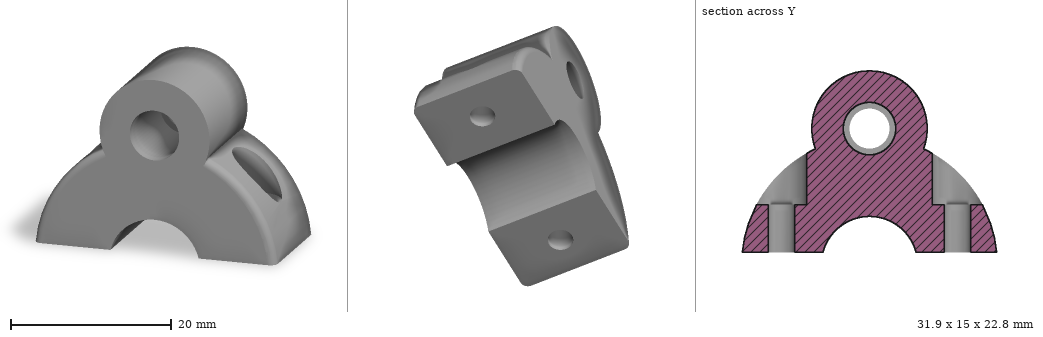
import cadquery as cq

depth = 15.0

saddle_radius = 16.0
saddle_bore_radius = 6.0
saddle_axis_z = -1.5
saddle_edge_fillet = 1.0

barrel_diameter = 14.5
barrel_axis_z = 15.5
barrel_hole_diameter = 5.0
barrel_pocket_diameter = 6.5
barrel_lip_length = 3.0
barrel_pocket_depth = depth - barrel_lip_length

screw_offset_x = 11.0
screw_hole_diameter = 3.2
screw_head_diameter = 6.25
screw_seat_z = 6.0


def cylinder_along_y(diameter, axis_z, start_y, length):
    """Cylinder parallel to Y, running from start_y toward +Y."""
    return (
        cq.Workplane("XZ", origin=(0, start_y, axis_z))
        .circle(diameter / 2)
        .extrude(-length)
    )


def cylinder_along_z(diameter, x, start_z, length):
    """Vertical cylinder standing on start_z."""
    return cq.Workplane("XY", origin=(x, 0, start_z)).circle(diameter / 2).extrude(length)


front_y = -depth / 2
top_z = barrel_axis_z + barrel_diameter / 2


def make_saddle():
    """Round-edged disc trimmed at the base plane, with the central bore removed."""
    disc = cylinder_along_y(2 * saddle_radius, saddle_axis_z, front_y, depth)
    disc = disc.edges("%CIRCLE").fillet(saddle_edge_fillet)
    upper_half_space = cq.Workplane("XY").box(
        2 * saddle_radius, depth, saddle_radius, centered=(True, True, False)
    )
    bore = cylinder_along_y(2 * saddle_bore_radius, saddle_axis_z, front_y, depth)
    return disc.intersect(upper_half_space).cut(bore)


def cut_barrel_bore(body):
    """Through hole along the barrel, widened from the -Y end into a pocket."""
    hole = cylinder_along_y(barrel_hole_diameter, barrel_axis_z, front_y, depth)
    pocket = cylinder_along_y(
        barrel_pocket_diameter, barrel_axis_z, front_y, barrel_pocket_depth
    )
    return body.cut(hole).cut(pocket)


def cut_screw_hole(body, x):
    """Clearance hole through the flank with a flat seat for the screw head."""
    shank = cylinder_along_z(screw_hole_diameter, x, 0, top_z)
    head = cylinder_along_z(screw_head_diameter, x, screw_seat_z, top_z - screw_seat_z)
    return body.cut(shank).cut(head)


barrel = cylinder_along_y(barrel_diameter, barrel_axis_z, front_y, depth)
result = make_saddle().union(barrel)
result = cut_barrel_bore(result)
for side in (-1, 1):
    result = cut_screw_hole(result, side * screw_offset_x)